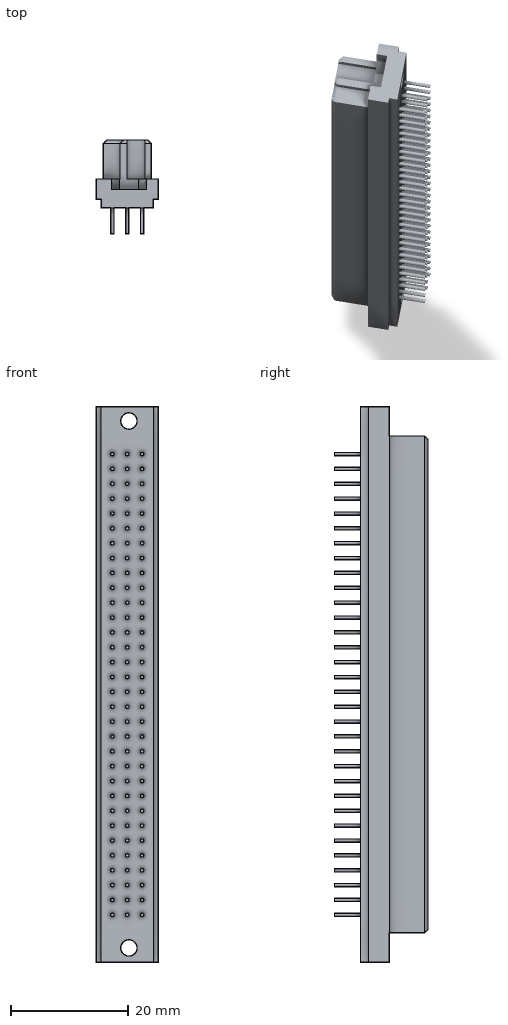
import cadquery as cq
import math


base_length = 95.0
base_width = 8.9
flange_width = 10.6
flange_start = 1.4
flange_back = 4.9

body_width = 8.3
body_back = 11.6
body_end = 42.5
step_end = 41.5
step_edge = -1.2
body_chamfer = 0.62

pocket_left = 0.0
pocket_right = 3.0

slot_center = 0.3
slot_floor = 3.1
slot_outer_width = 6.0
slot_inner_width = 3.2
slot_slope_angle = 30.0
hole_diameter = 2.8
hole_inset = 2.5

pin_diameter = 0.6
pin_length = 4.5
pin_rows = 32
pin_columns = 3
row_span = 78.8
row_pitch = row_span / (pin_rows - 1)
column_pitch = row_pitch


def prism(outline, y_start, y_end):
    """Extrude an (x, z) outline along Y."""
    plane = cq.Workplane("XZ", origin=(0, y_start, 0))
    return plane.polyline(outline).close().extrude(y_start - y_end)


def mirrored_pair(shape):
    """Join a feature at the upper end with its mirror image at the lower end."""
    return shape.union(shape.mirror("XY"))


def make_base():
    """Base strip with a wider flange behind its pin side."""
    strip = cq.Workplane("XY").box(base_width, flange_back, base_length, centered=(True, False, True))
    flange = cq.Workplane("XY").box(
        flange_width, flange_back - flange_start, base_length, centered=(True, False, True)
    )
    return strip.union(flange.translate((0, flange_start, 0)))


def make_end_slots():
    """Slots behind the mounting holes, with straight sides that slope inward near the body."""
    outer = slot_outer_width / 2
    inner = slot_inner_width / 2
    slope_top = body_end + (outer - inner) / math.tan(math.radians(slot_slope_angle))
    outline = [
        (slot_center - outer, base_length / 2),
        (slot_center - outer, slope_top),
        (slot_center - inner, body_end),
        (slot_center + inner, body_end),
        (slot_center + outer, slope_top),
        (slot_center + outer, base_length / 2),
    ]
    return mirrored_pair(prism(outline, slot_floor, flange_back))


def make_body():
    """Body with a lower step at the -X side of both ends and a chamfered mating face."""
    half_width = body_width / 2
    outline = [
        (-half_width, -step_end),
        (step_edge, -step_end),
        (step_edge, -body_end),
        (half_width, -body_end),
        (half_width, body_end),
        (step_edge, body_end),
        (step_edge, step_end),
        (-half_width, step_end),
    ]
    return prism(outline, flange_back, body_back).faces(">Y").chamfer(body_chamfer)


def make_key_pockets():
    """Shallow pockets level with the steps, open toward the mating face."""
    outline = [
        (pocket_left, step_end),
        (pocket_right, step_end),
        (pocket_right, body_end),
        (pocket_left, body_end),
    ]
    return mirrored_pair(prism(outline, flange_back, body_back))


def make_mounting_holes():
    """One through hole near each end, centered on the end slot."""
    hole_z = base_length / 2 - hole_inset
    return (
        cq.Workplane("XZ")
        .pushPoints([(slot_center, hole_z), (slot_center, -hole_z)])
        .circle(hole_diameter / 2)
        .extrude(-flange_back)
    )


def make_pins():
    """Grid of contact pins pointing toward -Y."""
    return (
        cq.Workplane("XZ")
        .rarray(column_pitch, row_pitch, pin_columns, pin_rows)
        .circle(pin_diameter / 2)
        .extrude(pin_length)
    )


base = make_base().cut(make_end_slots()).cut(make_mounting_holes())
body = make_body().cut(make_key_pockets())
result = base.union(body).union(make_pins())